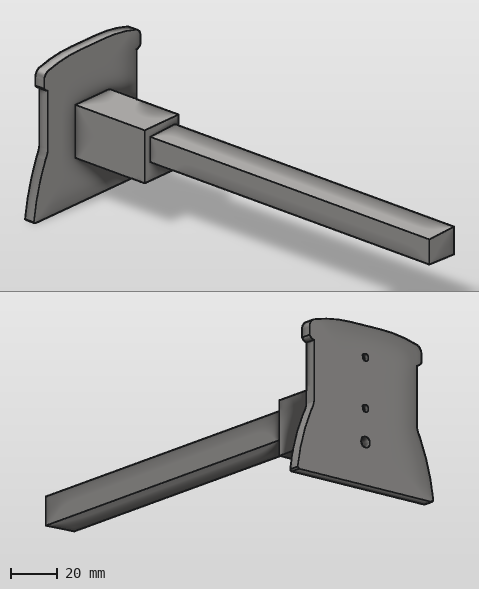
import cadquery as cq

total_length = 205.0
plate_height = 72.0
plate_width = 75.6
plate_thickness = 5.1
plate_top = plate_height / 2
plate_bottom = -plate_top

crown_flat_half = 8.0
crown_end_half = 28.5
crown_end_depth = 2.9
head_half = 31.2
head_corner_depth = 7.2
head_lower_depth = 10.5
neck_half = 28.7
neck_top_depth = 12.3
neck_bottom_depth = 40.0
flare_start_half = 30.3
flare_start_depth = 44.3
foot_half = plate_width / 2
foot_corner = 0.8

crown_mid = (18.7, 0.74)
head_corner_mid = (30.5, 4.5)
head_lower_mid = (30.3, 11.5)
neck_blend_mid = (29.3, 42.2)
flare_mid = (34.5, 55.4)

collar_length = 39.8
collar_width = 22.0
collar_height = 25.0
collar_center_z = -1.5

bar_width = 16.0
bar_height_front = 11.9
bar_height_back = 13.1
bar_center_z = 0.8
bar_center_y = 0.6

pin_hole_diameter = 3.3
pin_hole_bore = plate_thickness / 2
pin_hole_depths = (14.4, 37.3)
through_hole_diameter = 5.0
through_hole_depth = 52.5


def make_plate():
    """Bell-shaped plate, drawn down the +Y side and mirrored about Y = 0."""
    def at(half_width, depth):
        return (half_width, plate_top - depth)

    half = (
        cq.Workplane("YZ")
        .moveTo(0, plate_top)
        .lineTo(crown_flat_half, plate_top)
        .threePointArc(at(*crown_mid), at(crown_end_half, crown_end_depth))
        .threePointArc(at(*head_corner_mid), at(head_half, head_corner_depth))
        .lineTo(*at(head_half, head_lower_depth))
        .threePointArc(at(*head_lower_mid), at(neck_half, neck_top_depth))
        .lineTo(*at(neck_half, neck_bottom_depth))
        .threePointArc(at(*neck_blend_mid), at(flare_start_half, flare_start_depth))
        .threePointArc(at(*flare_mid), (foot_half, plate_bottom + foot_corner))
        .lineTo(foot_half - foot_corner, plate_bottom)
        .lineTo(0, plate_bottom)
        .close()
        .extrude(plate_thickness)
    )
    return half.union(half.mirror("XZ")).clean()


def make_collar():
    return (
        cq.Workplane("YZ", origin=(plate_thickness, 0, collar_center_z))
        .rect(collar_width, collar_height)
        .extrude(collar_length)
    )


def make_bar():
    start_x = plate_thickness + collar_length
    section = [
        (-bar_width / 2, -bar_height_front / 2),
        (bar_width / 2, -bar_height_back / 2),
        (bar_width / 2, bar_height_back / 2),
        (-bar_width / 2, bar_height_front / 2),
    ]
    return (
        cq.Workplane("YZ", origin=(start_x, bar_center_y, bar_center_z))
        .polyline(section)
        .close()
        .extrude(total_length - start_x)
    )


def make_hole(diameter, depth_below_top, bore):
    """Cutter that enters the outer face of the plate."""
    return (
        cq.Workplane("YZ", origin=(0, 0, plate_top - depth_below_top))
        .circle(diameter / 2)
        .extrude(bore)
    )


result = make_plate().union(make_collar()).union(make_bar())
for pin_depth in pin_hole_depths:
    result = result.cut(make_hole(pin_hole_diameter, pin_depth, pin_hole_bore))
result = result.cut(make_hole(through_hole_diameter, through_hole_depth, plate_thickness))